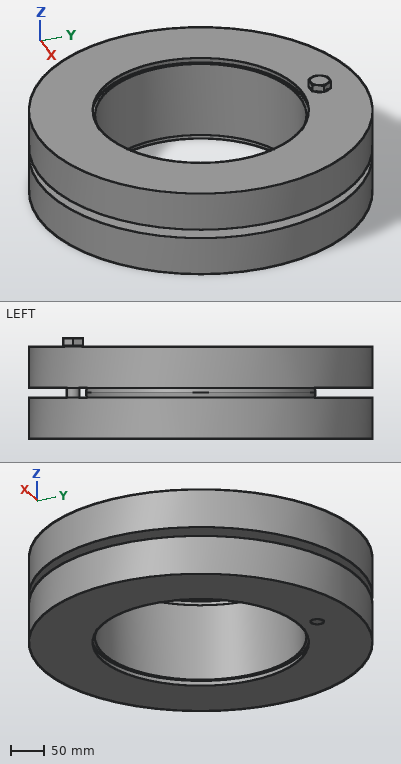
import cadquery as cq
import math

flange_diameter = 520.0
flange_bore = 327.0
flange_thickness = 62.5
flange_gap = 14.5
stack_height = 2 * flange_thickness + flange_gap

sleeve_bore = 320.0
sleeve_end_recess = 8.5
sleeve_diameter = 347.5
seat_slope = (sleeve_diameter - flange_bore) / stack_height

bolt_offset = 193.0
shank_diameter = 20.0
head_across_flats = 30.0
head_across_corners = head_across_flats / math.cos(math.pi / 6)
corner_turn = 30
head_height = 13.0
washer_face_diameter = 27.5
washer_face_height = 1.5
head_chamfer_height = 1.0


def bore_radius(height):
    """Radius of the conical flange bore at a height above the outer face of the lower flange."""
    return flange_bore / 2 + height * seat_slope


def revolve_profile(points):
    """Full ring about Z from (radius, height) points."""
    return cq.Workplane("XZ").polyline(points).close().revolve(360, (0, 0, 0), (0, 1, 0))


def make_lower_flange():
    """Ring with a bolt hole and a bore that widens upward."""
    ring = revolve_profile([
        (bore_radius(0), 0),
        (flange_diameter / 2, 0),
        (flange_diameter / 2, flange_thickness),
        (bore_radius(flange_thickness), flange_thickness),
    ])
    bolt_hole = (
        cq.Workplane("XY", origin=(0, bolt_offset, 0))
        .circle(shank_diameter / 2)
        .extrude(flange_thickness)
    )
    return ring.cut(bolt_hole)


def make_upper_flange():
    """Mirror image of the lower flange about the middle of the stack."""
    return make_lower_flange().mirror("XY", (0, 0, stack_height / 2))


def make_sleeve():
    """Double-cone ring that seats in both flange bores and bridges the gap."""
    inner = sleeve_bore / 2
    bottom = sleeve_end_recess
    middle = stack_height / 2
    top = stack_height - sleeve_end_recess
    return revolve_profile([
        (inner, bottom),
        (bore_radius(bottom), bottom),
        (bore_radius(middle), middle),
        (bore_radius(bottom), top),
        (inner, top),
    ])


def make_bolt():
    """Hexagon bolt through both flanges, with a round washer face and chamfered head corners."""
    hexagon_base = stack_height + washer_face_height
    hexagon_height = head_height - washer_face_height
    shank = (
        cq.Workplane("XY", origin=(0, bolt_offset, 0))
        .circle(shank_diameter / 2)
        .extrude(stack_height)
    )
    washer_face = (
        cq.Workplane("XY", origin=(0, bolt_offset, stack_height))
        .circle(washer_face_diameter / 2)
        .extrude(washer_face_height)
    )
    hexagon = (
        cq.Workplane("XY", origin=(0, bolt_offset, hexagon_base))
        .transformed(rotate=(0, 0, corner_turn))
        .polygon(6, head_across_flats, circumscribed=True)
        .extrude(hexagon_height)
    )
    chamfer_envelope = (
        cq.Workplane("XY", origin=(0, bolt_offset, hexagon_base))
        .circle(head_across_corners / 2)
        .extrude(hexagon_height)
        .faces(">Z")
        .chamfer(head_chamfer_height, (head_across_corners - head_across_flats) / 2)
    )
    return shank.union(washer_face).union(hexagon.intersect(chamfer_envelope))


lower_flange = make_lower_flange()
upper_flange = make_upper_flange()
sleeve = make_sleeve()
bolt = make_bolt()
result = cq.Compound.makeCompound([lower_flange.val(), upper_flange.val(), sleeve.val(), bolt.val()])